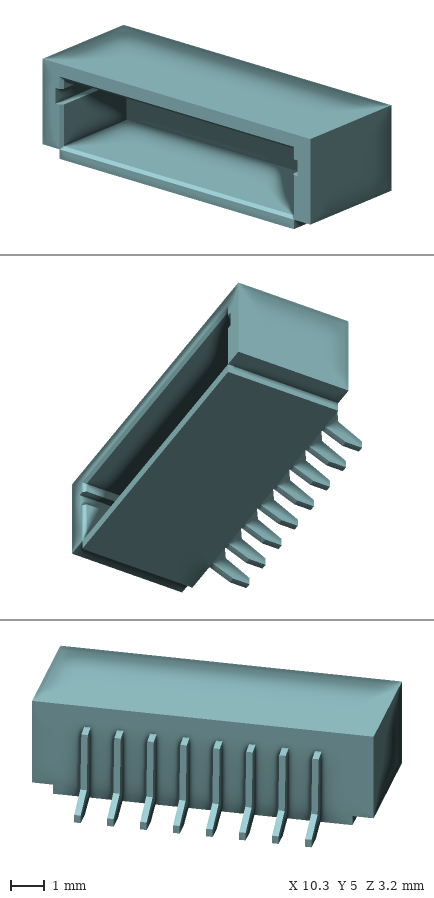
import cadquery as cq

housing_width = 10.35
housing_depth = 3.7
housing_height = 3.0
foot_height = 0.3
foot_inset = 0.64

mouth_width = housing_width - 2 * foot_inset
mouth_bottom = foot_height
top_wall = 0.4
mouth_top = housing_height - top_wall
mouth_chamfer = 0.09
cavity_width = mouth_width - 2 * mouth_chamfer
cavity_bottom = mouth_bottom + mouth_chamfer
cavity_height = mouth_top - mouth_chamfer - cavity_bottom
back_wall = foot_inset + mouth_chamfer
cavity_depth = housing_depth - back_wall

slot_reach = 0.15
slot_height = 0.5
slot_drop = 0.8
slot_top = housing_height - slot_drop
slot_span = mouth_width + 2 * slot_reach

pin_count = 8
pin_row_length = 7.0
pin_pitch = pin_row_length / (pin_count - 1)
pin_thickness = 0.2
pin_reach = 1.3
pin_bottom = -0.2
pin_tip_height = 0.25
pin_sole_start = 0.76
pin_root_bottom = 0.15
pin_root_top = 2.33
pin_shoulder_reach = 0.37
pin_shoulder_top = 2.26
pin_bend_reach = 0.51
pin_bend_height = 0.5


def box(width, depth, height, bottom):
    """A block centred on X that runs back from the front face, with its underside at the given Z."""
    return cq.Workplane("XY").box(width, depth, height, centered=(True, False, False)).translate((0, 0, bottom))


def make_mouth_taper():
    """The pyramid-like cut that chamfers the rim of the mouth at 45 degrees."""
    mouth_height = mouth_top - mouth_bottom
    mouth_middle = (mouth_top + mouth_bottom) / 2
    return (
        cq.Workplane("XZ", origin=(0, 0, mouth_middle))
        .rect(mouth_width, mouth_height)
        .workplane(offset=-mouth_chamfer)
        .rect(cavity_width, cavity_height)
        .loft(ruled=True)
    )


def make_housing():
    block = box(housing_width, housing_depth, housing_height - foot_height, foot_height)
    foot = box(mouth_width, housing_depth, foot_height, 0)
    cavity = box(cavity_width, cavity_depth, cavity_height, cavity_bottom)
    key_slots = box(slot_span, cavity_depth, slot_height, slot_top - slot_height)
    return block.union(foot).cut(cavity).cut(key_slots).cut(make_mouth_taper())


def make_pin(center_x):
    """A bent lead whose flat root rests against the back of the housing."""
    profile = [
        (0, pin_root_bottom),
        (0, pin_root_top),
        (pin_shoulder_reach, pin_shoulder_top),
        (pin_bend_reach, pin_bend_height),
        (pin_reach, pin_bottom + pin_tip_height),
        (pin_reach, pin_bottom),
        (pin_sole_start, pin_bottom),
    ]
    return (
        cq.Workplane("YZ", origin=(center_x, housing_depth, 0))
        .polyline(profile)
        .close()
        .extrude(pin_thickness / 2, both=True)
    )


housing = make_housing()

pins = []
for index in range(pin_count):
    pins.append(make_pin(index * pin_pitch - pin_row_length / 2))

result = cq.Compound.makeCompound([housing.val(), *[pin.val() for pin in pins]])